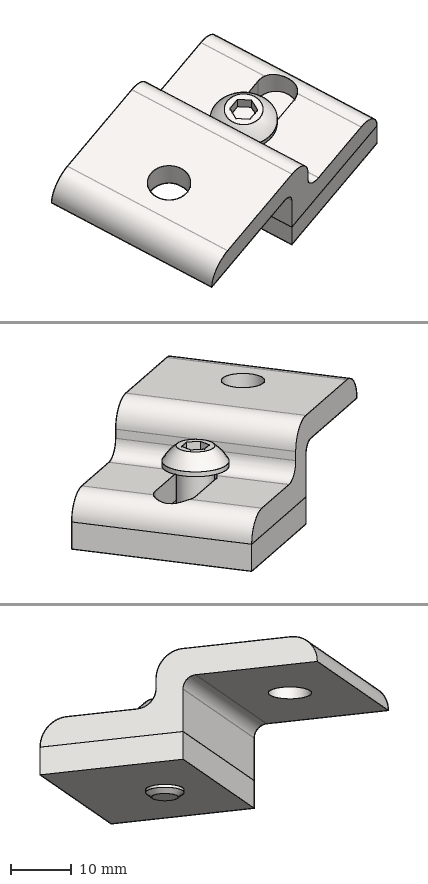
import cadquery as cq
import math

width = 31.75
length = 49.25
overall_height = 20.3
base_length = 25.4
wall_offset = 20.6
screw_protrusion = 1.3

thickness = (overall_height - screw_protrusion) / 4
foot_top = 2 * thickness
arm_bottom = 3 * thickness
bracket_top = 4 * thickness

nose_radius = thickness
foot_fillet_radius = 3.15
arm_fillet_radius = 2.2

back_y = length / 2
front_y = -length / 2
base_front_y = back_y - base_length
wall_y = back_y - wall_offset

hole_diameter = 7.15
hole_y = front_y + 11.18
slot_end_y = back_y - 2.7

screw_y = back_y - 15.85
shank_diameter = 6.35
head_diameter = 11.15
head_top_diameter = 6.4
head_bottom = foot_top + 1.85
head_rim_height = 0.85
head_height = 3.5
dome_bulge = 0.2
tip_chamfer_height = 0.8
tip_chamfer_width = 1.0
hex_across_flats = 4.0
hex_depth = 1.95


def make_backing_plate():
    """Flat plate under the foot, with a hole that fits the screw shank."""
    plate = cq.Workplane("XY").box(width, base_length, thickness, centered=(True, False, False))
    plate = plate.translate((0, base_front_y, 0))
    shank_hole = cq.Workplane("XY").center(0, screw_y).circle(shank_diameter / 2).extrude(thickness)
    return plate.cut(shank_hole)


def make_bracket_blank():
    """Z-shaped profile in the YZ plane, extruded across the width."""
    arc = math.sqrt(0.5)
    nose_mid = nose_radius * arc
    foot_mid = foot_fillet_radius * (1 - arc)
    arm_mid = arm_fillet_radius * (1 - arc)
    profile = (
        cq.Workplane("YZ", origin=(-width / 2, 0, 0))
        .moveTo(base_front_y, thickness)
        .lineTo(back_y, thickness)
        .threePointArc(
            (back_y - nose_radius + nose_mid, foot_top - nose_radius + nose_mid),
            (back_y - nose_radius, foot_top),
        )
        .lineTo(wall_y + foot_fillet_radius, foot_top)
        .threePointArc(
            (wall_y + foot_mid, foot_top + foot_mid),
            (wall_y, foot_top + foot_fillet_radius),
        )
        .lineTo(wall_y, bracket_top - nose_radius)
        .threePointArc(
            (wall_y - nose_radius + nose_mid, bracket_top - nose_radius + nose_mid),
            (wall_y - nose_radius, bracket_top),
        )
        .lineTo(front_y + nose_radius, bracket_top)
        .threePointArc(
            (front_y + nose_radius - nose_mid, bracket_top - nose_radius + nose_mid),
            (front_y, arm_bottom),
        )
        .lineTo(base_front_y - arm_fillet_radius, arm_bottom)
        .threePointArc(
            (base_front_y - arm_mid, arm_bottom - arm_mid),
            (base_front_y, arm_bottom - arm_fillet_radius),
        )
        .close()
    )
    return profile.extrude(width)


def make_slot():
    """Round-ended slot through the foot; the screw sits at its inner end."""
    far_center_y = slot_end_y - hole_diameter / 2
    travel = far_center_y - screw_y
    return (
        cq.Workplane("XY", origin=(0, (far_center_y + screw_y) / 2, thickness))
        .slot2D(travel + hole_diameter, hole_diameter, 90)
        .extrude(head_bottom - thickness)
    )


def make_screw_body():
    """Shank and domed head, revolved about the screw axis, without the socket."""
    shank_radius = shank_diameter / 2
    head_radius = head_diameter / 2
    head_top_radius = head_top_diameter / 2
    head_top = head_bottom + head_height
    rim_top = head_bottom + head_rim_height
    dome_width = head_radius - head_top_radius
    dome_height = head_top - rim_top
    dome_slant = math.hypot(dome_width, dome_height)
    dome_mid = (
        (head_radius + head_top_radius) / 2 + dome_bulge * dome_height / dome_slant,
        (rim_top + head_top) / 2 + dome_bulge * dome_width / dome_slant,
    )
    profile = (
        cq.Workplane("XZ")
        .moveTo(0, -screw_protrusion)
        .lineTo(shank_radius - tip_chamfer_width, -screw_protrusion)
        .lineTo(shank_radius, -screw_protrusion + tip_chamfer_height)
        .lineTo(shank_radius, head_bottom)
        .lineTo(head_radius, head_bottom)
        .lineTo(head_radius, rim_top)
        .threePointArc(dome_mid, (head_top_radius, head_top))
        .lineTo(0, head_top)
        .close()
    )
    return profile.revolve(360, (0, 0), (0, 1)).translate((0, screw_y, 0))


def make_hex_socket():
    """Hexagonal socket with two corners along Y."""
    across_corners = hex_across_flats / math.cos(math.pi / 6)
    return (
        cq.Workplane("XY", origin=(0, screw_y, head_bottom + head_height - hex_depth))
        .transformed(rotate=(0, 0, 90))
        .polygon(6, across_corners)
        .extrude(hex_depth)
    )


def make_bracket(screw_body):
    """Bracket with its arm hole, foot slot and a recess in the wall that fits the screw head."""
    arm_hole = (
        cq.Workplane("XY", origin=(0, hole_y, arm_bottom))
        .circle(hole_diameter / 2)
        .extrude(thickness)
    )
    return make_bracket_blank().cut(arm_hole).cut(make_slot()).cut(screw_body)


screw_body = make_screw_body()
backing_plate = make_backing_plate()
bracket = make_bracket(screw_body)
screw = screw_body.cut(make_hex_socket())

result = cq.Compound.makeCompound([backing_plate.val(), bracket.val(), screw.val()])